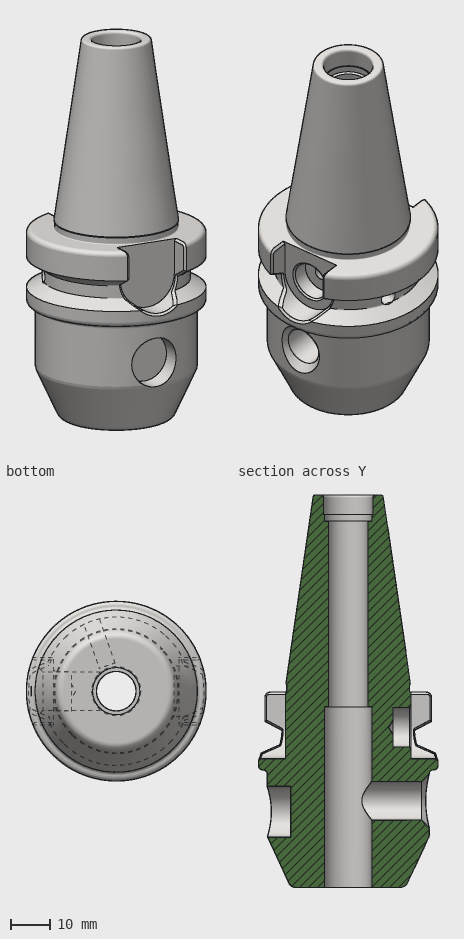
import cadquery as cq
import math

total_height = 100.4
nose_cone_top = 13.2
nose_fillet = 2
shoulder_height = 30.0
groove_bottom = 36.5
groove_top = 40.2
upper_flange_straight_bottom = 42.5
lower_flange_straight_top = 34.3
flange_top = 50.0
taper_bottom = 52.1
taper_lip_height = 0.3

flange_radius = 46.0 / 2
groove_radius = 19.0
body_radius = 41.5 / 2
nose_radius = 14.7
neck_radius = 31.5 / 2
taper_large_radius = 16.0
taper_per_length = 7 / 48
taper_small_radius = taper_large_radius - taper_per_length * (total_height - taper_bottom)

nose_cone_blend = 2
shoulder_blend = 1
groove_root_fillet = 0.3
neck_root_fillet = 0.25
upper_flange_fillet = 1.4
taper_end_fillet = 0.7
lower_flange_round = flange_radius - body_radius - shoulder_blend

tool_bore_diameter = 12
tool_bore_depth = 46.2
through_diameter = 10
drawbar_bore_diameter = 12.5
drawbar_bore_depth = 5
drawbar_seat_diameter = 12
drawbar_seat_depth = 6.7
drawbar_mouth_round = 0.8

cutter_overrun = 1

slot_floor = 16.1
slot_half_width = 8
slot_center_height = 41.0
slot_chamfer = 0.6

recess_diameter = 10
recess_depth = 4.6
recess_chamfer = 0.45
pilot_diameter = 3.6
pilot_tip_half_angle = 59

screw_hole_diameter = 9.8
screw_hole_height = 22.2
screw_countersink_diameter = 13.9
balance_bore_diameter = 13.0
balance_bore_height = 19.4
balance_bore_depth = 6

groove_hole_diameter = 4.2
groove_hole_depth = 12
groove_hole_height = (groove_bottom + groove_top) / 2
groove_hole_angle = 19.5


def cylinder_along_x(diameter, x_start, x_end, height):
    """Cylinder parallel to X, centred on the part axis in Y."""
    return (
        cq.Workplane("YZ", origin=(x_start, 0, height))
        .circle(diameter / 2)
        .extrude(x_end - x_start)
    )


def cone_along_x(start_radius, end_radius, x_start, x_end, height):
    """Cone frustum parallel to X, running from x_start to x_end."""
    length = abs(x_end - x_start)
    direction = cq.Vector(math.copysign(1, x_end - x_start), 0, 0)
    cone = cq.Solid.makeCone(start_radius, end_radius, length, cq.Vector(x_start, 0, height), direction)
    return cq.Workplane(obj=cone)


def edges_at(body, radius, height):
    """Circular edges of the turned body with the given radius and height."""
    tolerance = 0.01
    matching = [
        edge
        for edge in body.edges("%CIRCLE").vals()
        if abs(edge.radius() - radius) < tolerance and abs(edge.Center().z - height) < tolerance
    ]
    return body.newObject(matching)


def turned_body():
    blend_radius = body_radius + shoulder_blend
    profile = (
        cq.Workplane("XZ")
        .lineTo(nose_radius, 0)
        .lineTo(body_radius, nose_cone_top)
        .lineTo(body_radius, shoulder_height - shoulder_blend)
        .radiusArc((blend_radius, shoulder_height), shoulder_blend)
        .radiusArc((flange_radius, shoulder_height + lower_flange_round), -lower_flange_round)
        .lineTo(flange_radius, lower_flange_straight_top)
        .lineTo(groove_radius, groove_bottom)
        .lineTo(groove_radius, groove_top)
        .lineTo(flange_radius, upper_flange_straight_bottom)
        .lineTo(flange_radius, flange_top)
        .lineTo(neck_radius, flange_top)
        .lineTo(neck_radius, taper_bottom - taper_lip_height)
        .lineTo(taper_large_radius, taper_bottom)
        .lineTo(taper_small_radius, total_height)
        .lineTo(0, total_height)
        .close()
    )
    body = profile.revolve(360, (0, 0, 0), (0, 1, 0))
    rounded_edges = [
        (nose_radius, 0, nose_fillet),
        (body_radius, nose_cone_top, nose_cone_blend),
        (groove_radius, groove_bottom, groove_root_fillet),
        (groove_radius, groove_top, groove_root_fillet),
        (neck_radius, flange_top, neck_root_fillet),
        (flange_radius, flange_top, upper_flange_fillet),
        (taper_small_radius, total_height, taper_end_fillet),
    ]
    for radius, height, fillet in rounded_edges:
        body = edges_at(body, radius, height).fillet(fillet)
    return body


def axial_bores():
    seat_floor = total_height - drawbar_seat_depth
    bore_floor = total_height - drawbar_bore_depth
    tool_radius = tool_bore_diameter / 2
    through_radius = through_diameter / 2
    seat_radius = drawbar_seat_diameter / 2
    bore_radius = drawbar_bore_diameter / 2
    profile = (
        cq.Workplane("XZ")
        .lineTo(tool_radius, 0)
        .lineTo(tool_radius, tool_bore_depth)
        .lineTo(through_radius, tool_bore_depth)
        .lineTo(through_radius, seat_floor)
        .lineTo(seat_radius, seat_floor)
        .lineTo(seat_radius, bore_floor)
        .lineTo(bore_radius, bore_floor)
        .lineTo(bore_radius, total_height - drawbar_mouth_round)
        .radiusArc((bore_radius + drawbar_mouth_round, total_height), drawbar_mouth_round)
        .lineTo(0, total_height)
        .close()
    )
    return profile.revolve(360, (0, 0, 0), (0, 1, 0))


def slot_prism():
    """Round-bottomed slot on the +X side, open towards the taper."""
    half_width = slot_half_width
    return (
        cq.Workplane("YZ", origin=(slot_floor, 0, 0))
        .moveTo(-half_width, flange_top + cutter_overrun)
        .lineTo(-half_width, slot_center_height)
        .threePointArc((0, slot_center_height - half_width), (half_width, slot_center_height))
        .lineTo(half_width, flange_top + cutter_overrun)
        .close()
        .extrude(flange_radius + cutter_overrun - slot_floor)
    )


def is_slot_rim(edge):
    """True for edges where a slot wall meets the flange outside the gripper groove."""
    box = edge.BoundingBox()
    middle = edge.Center()
    margin = 0.1
    beyond_floor = abs(middle.x) > slot_floor + margin and abs(middle.y) < slot_half_width + margin
    on_slot_wall = box.ylen < 2 * slot_half_width and middle.z > shoulder_height
    below_groove = box.zmax < groove_bottom + groove_root_fillet
    above_groove = box.zmin > upper_flange_straight_bottom - margin
    return beyond_floor and on_slot_wall and (below_groove or above_groove)


def cut_drive_slots(body):
    slot = slot_prism()
    for side_slot in (slot, slot.mirror("YZ")):
        body = body.cut(side_slot)
    rims = [edge for edge in body.edges().vals() if is_slot_rim(edge)]
    return body.newObject(rims).chamfer(slot_chamfer)


def slot_recess():
    recess_floor = -slot_floor + recess_depth
    radius = recess_diameter / 2
    pilot_radius = pilot_diameter / 2
    tip_length = pilot_radius / math.tan(math.radians(pilot_tip_half_angle))
    recess = cylinder_along_x(recess_diameter, -slot_floor, recess_floor, slot_center_height)
    chamfer = cone_along_x(
        radius + recess_chamfer, radius, -slot_floor, -slot_floor + recess_chamfer, slot_center_height
    )
    tip = cone_along_x(pilot_radius, 0, recess_floor, recess_floor + tip_length, slot_center_height)
    return recess.union(chamfer).union(tip)


def clamping_screw_hole():
    hole = cylinder_along_x(screw_hole_diameter, -body_radius, 0, screw_hole_height)
    depth = (screw_countersink_diameter - screw_hole_diameter) / 2
    countersink = cone_along_x(
        screw_countersink_diameter / 2 + cutter_overrun,
        screw_hole_diameter / 2,
        -body_radius - cutter_overrun,
        -body_radius + depth,
        screw_hole_height,
    )
    return hole.union(countersink)


def balance_bore():
    return cylinder_along_x(
        balance_bore_diameter, body_radius - balance_bore_depth, flange_radius, balance_bore_height
    )


def groove_hole():
    hole = cylinder_along_x(
        groove_hole_diameter, groove_radius - groove_hole_depth, groove_radius, groove_hole_height
    )
    return hole.rotate((0, 0, 0), (0, 0, 1), -90 - groove_hole_angle)


result = cut_drive_slots(turned_body())
for cutter in (axial_bores(), slot_recess(), clamping_screw_hole(), balance_bore(), groove_hole()):
    result = result.cut(cutter)